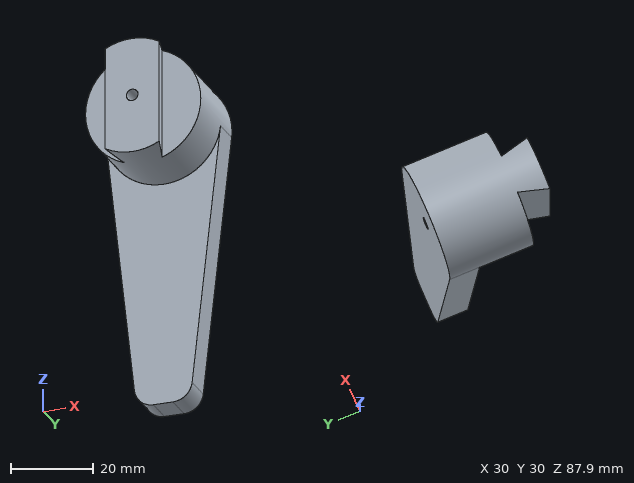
import cadquery as cq
import math

hub_diameter = 30.0
hub_radius = hub_diameter / 2
total_height = 87.9
total_depth = 30.0
lever_thickness = 8.0
tip_half_width = 7.0
tip_corner_radius = 5.0
dovetail_height = 7.7
dovetail_face_width = 14.1
dovetail_neck_width = 9.9
hole_diameter = 3.0

front_y = -total_depth
shoulder_y = front_y + dovetail_height
tip_z = hub_radius - total_height


def make_hub():
    """Round hub over the full depth of the part."""
    return cq.Workplane("XZ").circle(hub_radius).extrude(total_depth)


def make_lever():
    """Tapered lever whose straight sides are tangent to the hub."""
    tip_distance = math.hypot(tip_half_width, tip_z)
    tip_direction = math.atan2(tip_z, tip_half_width)
    tangent_angle = tip_direction + math.acos(hub_radius / tip_distance)
    tangent_x = hub_radius * math.cos(tangent_angle)
    tangent_z = hub_radius * math.sin(tangent_angle)
    outline = [
        (-tangent_x, tangent_z),
        (-tip_half_width, tip_z),
        (tip_half_width, tip_z),
        (tangent_x, tangent_z),
    ]
    lever = cq.Workplane("XZ").polyline(outline).close().extrude(lever_thickness)
    return lever.faces("<Z").edges("|Y").fillet(tip_corner_radius)


def make_dovetail_waste(side):
    """Material beside the dovetail; side is -1 for left and +1 for right."""
    outline = [
        (side * dovetail_neck_width / 2, shoulder_y),
        (side * dovetail_face_width / 2, front_y),
        (side * hub_diameter, front_y),
        (side * hub_diameter, shoulder_y),
    ]
    return cq.Workplane("XY").polyline(outline).close().extrude(hub_radius, both=True)


def make_hole():
    """Through hole on the hub axis."""
    return cq.Workplane("XZ").circle(hole_diameter / 2).extrude(total_depth)


result = make_hub().union(make_lever())
for side in (-1, 1):
    result = result.cut(make_dovetail_waste(side))
result = result.cut(make_hole())